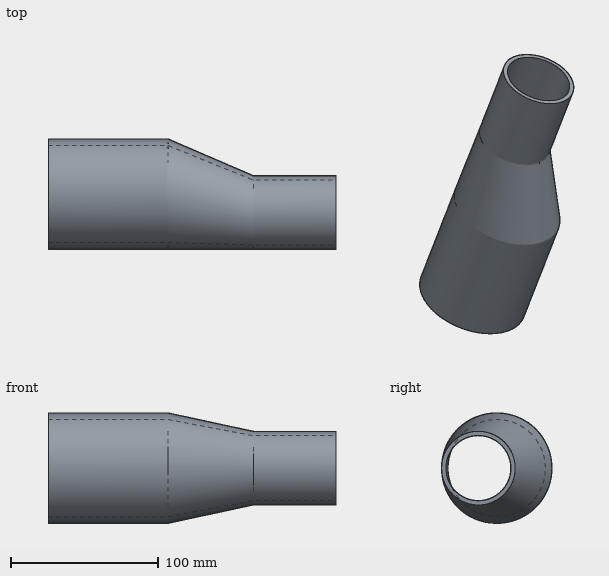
import cadquery as cq

total_length = 195.0
large_length = 81.0
small_length = 56.0
taper_length = total_length - large_length - small_length

large_outer_diameter = 75.0
large_bore_diameter = 66.0
small_outer_diameter = 50.0
small_bore_diameter = 44.0

flush_step = 0.01
small_axis_y = flush_step - (large_outer_diameter - small_outer_diameter) / 2

junction_fillet_radius = 3.0
edge_search_margin = 0.1

taper_start_x = large_length
taper_end_x = large_length + taper_length


def straight_section(diameter, axis_y, start_x, length):
    """Cylinder along +X whose axis lies at axis_y."""
    return (
        cq.Workplane("YZ", origin=(start_x, axis_y, 0))
        .circle(diameter / 2)
        .extrude(length)
    )


def tapered_section(large_diameter, small_diameter):
    """Ruled loft between the large circle and the offset small circle."""
    return (
        cq.Workplane("YZ", origin=(taper_start_x, 0, 0))
        .circle(large_diameter / 2)
        .workplane(offset=taper_length)
        .center(small_axis_y, 0)
        .circle(small_diameter / 2)
        .loft(ruled=True)
    )


def reducer_body(large_diameter, small_diameter):
    """Solid made of the large cylinder, the taper and the small cylinder."""
    large_end = straight_section(large_diameter, 0, 0, large_length)
    taper = tapered_section(large_diameter, small_diameter)
    small_end = straight_section(small_diameter, small_axis_y, taper_end_x, small_length)
    return large_end.union(taper).union(small_end)


def fillet_junction(body, junction_x):
    """Round the circular edge of a solid body that lies in the plane X = junction_x."""
    reach = large_outer_diameter
    around_junction = cq.selectors.BoxSelector(
        (junction_x - edge_search_margin, -reach, -reach),
        (junction_x + edge_search_margin, reach, reach),
    )
    return body.edges(around_junction).fillet(junction_fillet_radius)


outer_body = reducer_body(large_outer_diameter, small_outer_diameter)
for junction_x in (taper_start_x, taper_end_x):
    outer_body = fillet_junction(outer_body, junction_x)

bore = reducer_body(large_bore_diameter, small_bore_diameter)

result = outer_body.cut(bore)